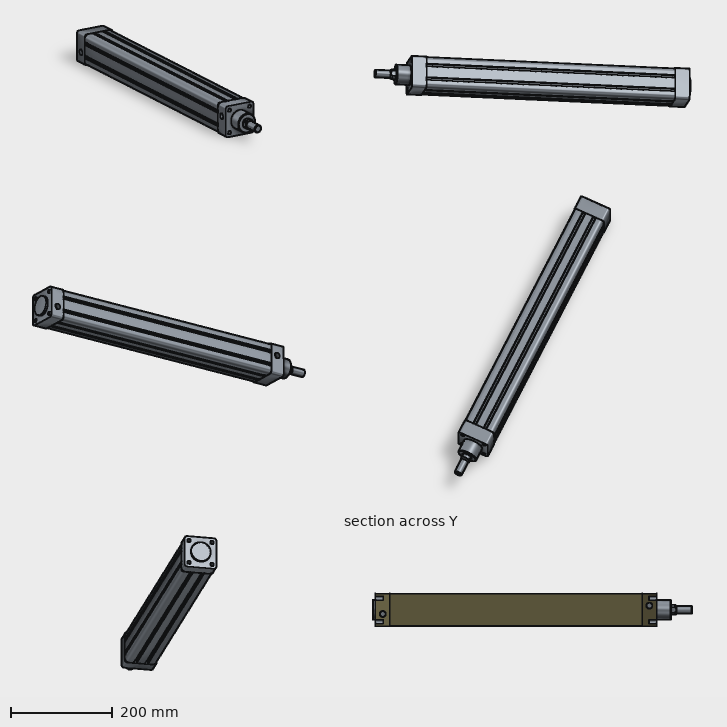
import cadquery as cq


OVERALL_LENGTH = 629.0
PILOT_LENGTH = 4.5
CAP_LENGTH = 29.0
BARREL_START = PILOT_LENGTH + CAP_LENGTH
BARREL_END = 531.0
FRONT_CAP_END = BARREL_END + CAP_LENGTH
NECK_END = 587.5
COLLAR_END = 599.0

CAP_SIDE = 65.0
CAP_CORNER_RADIUS = 5.5
PILOT_DIAMETER = 39.5
NECK_DIAMETER = 39.5
NECK_CHAMFER = 1.0
SCREW_SPACING = 46.5
SCREW_DIAMETER = 7.0
SCREW_DEPTH = 16.0
PORT_DIAMETER = 11.5
PORT_DEPTH = 12.5
PORT_OFFSET = 8.0
PORT_INSET = 15.0

BARREL_SIDE = 64.0
BARREL_CORNER_RADIUS = 9.0
GROOVE_WIDTH = 5.5
GROOVE_DEPTH = 5.5
TOP_GROOVE_OFFSET = 11.5
SIDE_GROOVE_OFFSET = 14.0

ROD_DIAMETER = 20.0
THREAD_DIAMETER = 16.0
FLAT_SPACING = 17.0
COLLAR_TAPER_LENGTH = 4.0
THREAD_CHAMFER = 1.0


def square_bar(side, corner_radius, start, end):
    """Square bar along X with rounded long edges."""
    bar = cq.Workplane("YZ", origin=(start, 0, 0)).rect(side, side).extrude(end - start)
    return bar.edges("|X").fillet(corner_radius)


def round_bar(diameter, start, end):
    """Cylinder along X."""
    return cq.Workplane("YZ", origin=(start, 0, 0)).circle(diameter / 2).extrude(end - start)


def screw_holes(start, end):
    """Four cylinders on a square pattern, used to cut the screw holes of a cap."""
    return (
        cq.Workplane("YZ", origin=(start, 0, 0))
        .rect(SCREW_SPACING, SCREW_SPACING, forConstruction=True)
        .vertices()
        .circle(SCREW_DIAMETER / 2)
        .extrude(end - start)
    )


def port_hole(x, z):
    """Blind port cutter that enters a cap through its -Y side."""
    return (
        cq.Workplane("XZ", origin=(x, -CAP_SIDE / 2, z))
        .circle(PORT_DIAMETER / 2)
        .extrude(-PORT_DEPTH)
    )


def make_rear_cap():
    """Square cap with a round pilot on its outer face."""
    cap = square_bar(CAP_SIDE, CAP_CORNER_RADIUS, PILOT_LENGTH, BARREL_START)
    cap = cap.cut(screw_holes(PILOT_LENGTH, PILOT_LENGTH + SCREW_DEPTH))
    cap = cap.cut(port_hole(PILOT_LENGTH + PORT_INSET, -PORT_OFFSET))
    return cap.union(round_bar(PILOT_DIAMETER, 0, PILOT_LENGTH))


def make_front_cap():
    """Square cap with a neck, bored through for the piston rod."""
    cap = square_bar(CAP_SIDE, CAP_CORNER_RADIUS, BARREL_END, FRONT_CAP_END)
    cap = cap.cut(screw_holes(FRONT_CAP_END - SCREW_DEPTH, FRONT_CAP_END))
    cap = cap.cut(port_hole(FRONT_CAP_END - PORT_INSET, PORT_OFFSET))
    neck = round_bar(NECK_DIAMETER, FRONT_CAP_END, NECK_END).faces(">X").chamfer(NECK_CHAMFER)
    return cap.union(neck).cut(round_bar(ROD_DIAMETER, BARREL_END, NECK_END))


def make_barrel():
    """Square profile with two full-length grooves in each long face."""
    barrel = square_bar(BARREL_SIDE, BARREL_CORNER_RADIUS, BARREL_START, BARREL_END)
    length = BARREL_END - BARREL_START
    middle = (BARREL_START + BARREL_END) / 2
    top_groove = cq.Workplane("XY").box(length, GROOVE_WIDTH, GROOVE_DEPTH)
    side_groove = cq.Workplane("XY").box(length, GROOVE_DEPTH, GROOVE_WIDTH)
    groove_center = (BARREL_SIDE - GROOVE_DEPTH) / 2
    for face in (-1, 1):
        for side in (-1, 1):
            top_place = (middle, side * TOP_GROOVE_OFFSET, face * groove_center)
            side_place = (middle, face * groove_center, side * SIDE_GROOVE_OFFSET)
            barrel = barrel.cut(top_groove.translate(top_place))
            barrel = barrel.cut(side_groove.translate(side_place))
    return barrel


def make_rod():
    """Round rod with two wrench flats on a tapered collar and a threaded-size end."""
    body = round_bar(ROD_DIAMETER, BARREL_END, COLLAR_END)
    taper_depth = (ROD_DIAMETER - THREAD_DIAMETER) / 2
    body = body.faces(">X").chamfer(COLLAR_TAPER_LENGTH, taper_depth)
    collar_length = COLLAR_END - NECK_END
    collar_middle = (COLLAR_END + NECK_END) / 2
    flat_depth = (ROD_DIAMETER - FLAT_SPACING) / 2
    flat_center = (ROD_DIAMETER + FLAT_SPACING) / 4
    for side in (-1, 1):
        flat = cq.Workplane("XY").box(collar_length, flat_depth, ROD_DIAMETER)
        body = body.cut(flat.translate((collar_middle, side * flat_center, 0)))
    thread = round_bar(THREAD_DIAMETER, COLLAR_END, OVERALL_LENGTH)
    return body.union(thread.faces(">X").chamfer(THREAD_CHAMFER))


rear_cap = make_rear_cap()
barrel = make_barrel()
front_cap = make_front_cap()
rod = make_rod()

result = cq.Compound.makeCompound([rear_cap.val(), barrel.val(), front_cap.val(), rod.val()])